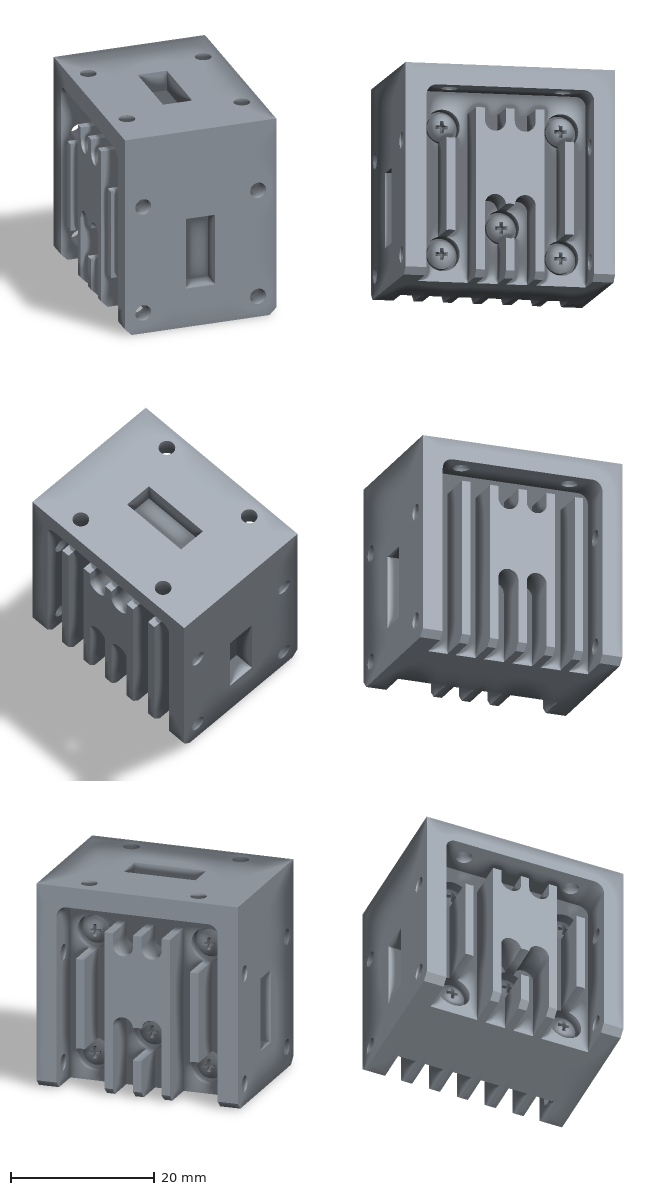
import cadquery as cq

WIDTH = 30.0
DEPTH = 22.4
HEIGHT = 30.0
FLANGE = 3.0
BOTTOM_CHAMFER = 1.0

RECESS_DEPTH = 5.52
RECESS_CORNER = 1.5
FIN_THICKNESS = 1.25
FIN_GAP = 3.0
FIN_PITCH = FIN_THICKNESS + FIN_GAP
PANEL_WIDTH = 2 * FIN_PITCH + FIN_THICKNESS
PANEL_TOP = 24.0
NOTCH_BOTTOM = 20.75
SLOT_TOP = 11.75
SIDE_FIN_X = 8.5

PORT_LENGTH = 10.68
PORT_WIDTH = 4.32
SIDE_PORT_Z = 11.25
FLANGE_HOLE_DIAMETER = 2.35
FLANGE_HOLE_SPACING_LONG = 16.25
FLANGE_HOLE_SPACING_Y = 17.0

SCREW_LOW_Z = 4.0
SCREW_HIGH_Z = 22.0
SCREW_CENTRE_Z = 8.0
SCREW_PLACES = [
    (-SIDE_FIN_X, SCREW_LOW_Z),
    (SIDE_FIN_X, SCREW_LOW_Z),
    (-SIDE_FIN_X, SCREW_HIGH_Z),
    (SIDE_FIN_X, SCREW_HIGH_Z),
    (0.0, SCREW_CENTRE_Z),
]
COUNTERBORE_RADIUS = 2.45
COUNTERBORE_DEPTH = 2.0
HEAD_RADIUS = 2.0
HEAD_SIDE_HEIGHT = 1.02
DOME_HEIGHT = 0.72
HEAD_HEIGHT = HEAD_SIDE_HEIGHT + DOME_HEIGHT
SHANK_RADIUS = 1.2
SHANK_LENGTH = 6.0
CROSS_SPAN = 1.95
CROSS_ARM_WIDTH = 0.5
CROSS_FLOOR_SPAN = 0.65
CROSS_DEPTH = 1.35

FRONT_Y = -DEPTH / 2
SEAT_Y = FRONT_Y + RECESS_DEPTH + COUNTERBORE_DEPTH


def front_box(width, bottom, top, centre_x=0.0):
    """Block as deep as the recess, starting at the front face."""
    height = top - bottom
    block = cq.Workplane("XY").box(width, RECESS_DEPTH, height, centered=(True, False, False))
    return block.translate((centre_x, FRONT_Y, bottom))


def front_cylinder(radius, x, z, start_y, length):
    """Cylinder running toward +Y from start_y."""
    start = cq.Vector(x, start_y, z)
    toward_back = cq.Vector(0, 1, 0)
    return cq.Workplane(cq.Solid.makeCylinder(radius, length, start, toward_back))


def fin_panel():
    """Central panel whose round notches and slots leave three fins at its top and bottom."""
    panel = front_box(PANEL_WIDTH, 0, PANEL_TOP)
    gap_radius = FIN_GAP / 2
    for gap_x in (-FIN_PITCH / 2, FIN_PITCH / 2):
        notch_z = NOTCH_BOTTOM + gap_radius
        slot_z = SLOT_TOP - gap_radius
        panel = panel.cut(front_box(FIN_GAP, notch_z, PANEL_TOP, gap_x))
        panel = panel.cut(front_box(FIN_GAP, 0, slot_z, gap_x))
        for round_z in (notch_z, slot_z):
            panel = panel.cut(front_cylinder(gap_radius, gap_x, round_z, FRONT_Y, RECESS_DEPTH))
    return panel


def finned_recess(side_fin_bottom, side_fin_top):
    """Volume removed from the front face: an open-bottomed recess less its panel and side fins."""
    recess = front_box(WIDTH - 2 * FLANGE, 0, HEIGHT - FLANGE)
    recess = recess.edges("|Y and >Z").fillet(RECESS_CORNER)
    recess = recess.cut(fin_panel())
    for x in (-SIDE_FIN_X, SIDE_FIN_X):
        recess = recess.cut(front_box(FIN_THICKNESS, side_fin_bottom, side_fin_top, x))
    return recess


def port():
    """Port and its four flange holes, one flange thick, cut down from Z = 0 with its length along X."""
    opening = cq.Workplane("XY").rect(PORT_LENGTH, PORT_WIDTH).extrude(-FLANGE)
    holes = (
        cq.Workplane("XY")
        .rect(FLANGE_HOLE_SPACING_LONG, FLANGE_HOLE_SPACING_Y, forConstruction=True)
        .vertices()
        .circle(FLANGE_HOLE_DIAMETER / 2)
        .extrude(-FLANGE)
    )
    return opening.union(holes)


def screw(x, z):
    """Domed screw with a tapered cross recess, seated on its counterbore floor."""
    dome_top_y = SEAT_Y - HEAD_HEIGHT
    dome_radius = (HEAD_RADIUS**2 + DOME_HEIGHT**2) / (2 * DOME_HEIGHT)
    dome_ball = cq.Workplane("XY").sphere(dome_radius).translate((x, dome_top_y + dome_radius, z))
    dome = dome_ball.intersect(front_cylinder(HEAD_RADIUS, x, z, dome_top_y, DOME_HEIGHT))
    side = front_cylinder(HEAD_RADIUS, x, z, SEAT_Y - HEAD_SIDE_HEIGHT, HEAD_SIDE_HEIGHT)
    head = dome.union(side)
    arm = (
        cq.Workplane("XY")
        .polyline([
            (-CROSS_SPAN / 2, dome_top_y),
            (CROSS_SPAN / 2, dome_top_y),
            (CROSS_FLOOR_SPAN / 2, dome_top_y + CROSS_DEPTH),
            (-CROSS_FLOOR_SPAN / 2, dome_top_y + CROSS_DEPTH),
        ])
        .close()
        .extrude(CROSS_ARM_WIDTH / 2, both=True)
    )
    upright_arm = arm.rotate((0, 0, 0), (0, 1, 0), 90)
    cross = arm.union(upright_arm).translate((x, 0, z))
    shank = front_cylinder(SHANK_RADIUS, x, z, SEAT_Y, SHANK_LENGTH)
    return head.union(shank).cut(cross)


def screw_hole(x, z):
    """Counterbore open to the front face, with a bore that fits the screw's shank."""
    counterbore = front_cylinder(COUNTERBORE_RADIUS, x, z, FRONT_Y, RECESS_DEPTH + COUNTERBORE_DEPTH)
    bore = front_cylinder(SHANK_RADIUS, x, z, SEAT_Y, SHANK_LENGTH)
    return counterbore.union(bore)


def make_housing():
    body = cq.Workplane("XY").box(WIDTH, DEPTH, HEIGHT, centered=(True, True, False))
    body = body.edges("|X and <Z").chamfer(BOTTOM_CHAMFER)

    body = body.cut(finned_recess(SCREW_LOW_Z, SCREW_HIGH_Z))
    body = body.cut(finned_recess(0, PANEL_TOP).mirror("XZ"))

    side_port = port().rotate((0, 0, 0), (0, 1, 0), 90).translate((WIDTH / 2, 0, SIDE_PORT_Z))
    body = body.cut(port().translate((0, 0, HEIGHT)))
    body = body.cut(side_port)
    body = body.cut(side_port.mirror("YZ"))

    for x, z in SCREW_PLACES:
        body = body.cut(screw_hole(x, z))
    return body


housing = make_housing()
screws = [screw(x, z) for x, z in SCREW_PLACES]

result = cq.Compound.makeCompound([
    *housing.solids().vals(),
    *[one_screw.solids().val() for one_screw in screws],
])